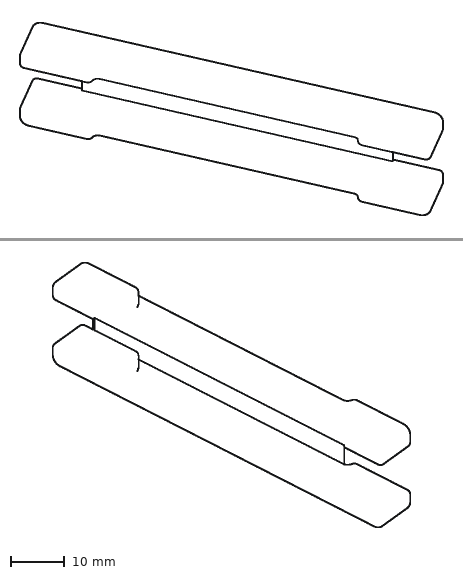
import cadquery as cq
import math

length = 80.0
depth = 9.0
height = 19.5

rail_height = 4.6
end_radius = 2.0
edge_radius = end_radius / 2
back_radius = 0.8

recess_depth = 1.6
step_start = 13.2
step_run = 2.1

web_length = 60.5
web_thickness = 1.0

half_length = length / 2
front = -depth / 2
back = depth / 2
recess_floor = front + recess_depth

step_angle = 2 * math.atan(recess_depth / step_run)
step_radius = step_run / (2 * math.sin(step_angle))
arc_mid_run = step_radius * math.sin(step_angle / 2)
arc_mid_rise = step_radius * (1 - math.cos(step_angle / 2))

step_outer = half_length - step_start
step_middle = step_outer - step_run / 2
step_inner = step_outer - step_run
step_middle_y = front + recess_depth / 2
convex_mid = (step_outer - arc_mid_run, front + arc_mid_rise)
concave_mid = (step_inner + arc_mid_run, recess_floor - arc_mid_rise)


def mirrored(point):
    return (-point[0], point[1])


def make_upper_rail():
    """Upper rail with its recess and rounded edges."""
    rail_top = height / 2
    rail_bottom = rail_top - rail_height
    rail = (
        cq.Workplane("XY", origin=(0, 0, rail_bottom))
        .moveTo(-half_length, back)
        .lineTo(-half_length, front)
        .lineTo(-step_outer, front)
        .threePointArc(mirrored(convex_mid), (-step_middle, step_middle_y))
        .threePointArc(mirrored(concave_mid), (-step_inner, recess_floor))
        .lineTo(step_inner, recess_floor)
        .threePointArc(concave_mid, (step_middle, step_middle_y))
        .threePointArc(convex_mid, (step_outer, front))
        .lineTo(half_length, front)
        .lineTo(half_length, back)
        .close()
        .extrude(rail_height)
    )
    rail = rail.faces(">Z").edges("|Y").fillet(end_radius)

    front_edges = rail.edges("not(|Y or |Z)").filter(lambda edge: edge.Center().y < 0)
    front_ends = rail.faces("<Y").edges("|Z")
    front_ends = front_ends.filter(lambda edge: abs(edge.Center().x) > step_outer + edge_radius)
    inner_ends = rail.faces("<Z").edges("|Y")
    rail = front_edges.add(front_ends).add(inner_ends).fillet(edge_radius)
    return rail.faces(">Y").edges().fillet(back_radius)


def make_web():
    """Thin web reaching into both rails past their rounded inner edges."""
    web_height = height - 2 * rail_height + 2 * edge_radius
    web = cq.Workplane("XY").box(web_length, web_thickness, web_height)
    web = web.translate((0, back - web_thickness / 2, 0))
    return web.faces(">Y").edges("|Z").fillet(back_radius)


upper_rail = make_upper_rail()
lower_rail = upper_rail.mirror("XY")
result = upper_rail.union(lower_rail).union(make_web())